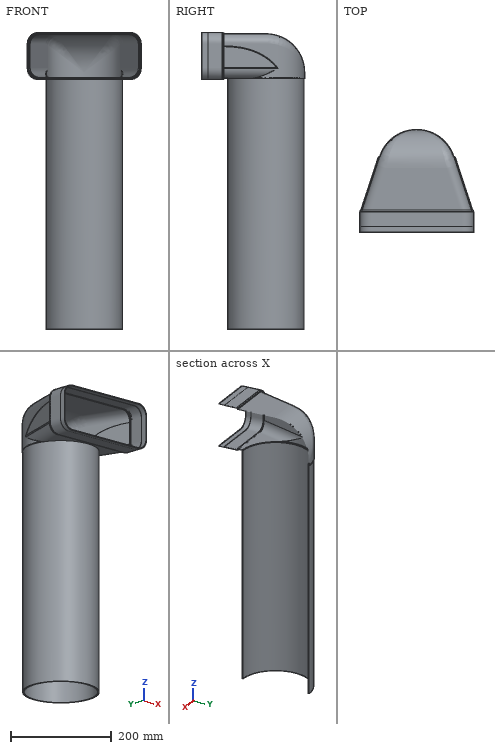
import cadquery as cq
import math


pipe_radius = 76.5
pipe_wall = 3.0
pipe_length = 500.0
bore_radius = pipe_radius - pipe_wall

elbow_radius = 77.5
elbow_height = 89.5
elbow_wall = 2.05
corner_radius = 20.0
elbow_bottom = pipe_length

overall_depth = 205.0
collar_width = 227.0
collar_wall = 2.5
collar_length = 44.5
collar_height = elbow_height + 2 * collar_wall
collar_front = elbow_radius - overall_depth
collar_back = collar_front + collar_length
back_chamfer_length = 3.5
back_chamfer_height = 1.0
lead_in_length = 12.5
lead_in_height = 0.5

elbow_overlap = 2.5
elbow_front = collar_back - elbow_overlap
socket_depth = collar_length - elbow_overlap

flare_angle = 18.2
flare_sin = math.sin(math.radians(flare_angle))
flare_cos = math.cos(math.radians(flare_angle))

pad_thickness = 2.5
pad_height = 45.0
pad_rise_length = 36.5
pad_edge_draft = 35

clearance = 6.0


def flare_tangent(radius):
    """Plan point where the +X flared side leaves a round back of this radius."""
    return radius * flare_cos, radius * flare_sin


def is_slanted(edge):
    """True for an edge that runs along both X and Y, not straight along one axis."""
    box = edge.BoundingBox()
    shortest_run = 3.0
    return min(box.xlen, box.ylen) > shortest_run


def elbow_form(inset, front):
    """Solid elbow, with all faces but its front one an inset inside the outer faces."""
    radius = elbow_radius - inset
    rounding = corner_radius - inset
    height = elbow_height - 2 * inset
    bottom = elbow_bottom + inset
    top = bottom + height
    tangent_x, tangent_y = flare_tangent(radius)
    front_x = (radius - front * flare_sin) / flare_cos
    base = cq.Workplane("XY", origin=(0, 0, bottom))

    flared = (
        base.moveTo(-front_x, front)
        .lineTo(-tangent_x, tangent_y)
        .threePointArc((0, radius), (tangent_x, tangent_y))
        .lineTo(front_x, front)
        .close()
        .extrude(height)
    )

    bend_middle = radius * math.sqrt(0.5)
    side = (
        cq.Workplane("YZ")
        .moveTo(front, bottom)
        .lineTo(front, top)
        .lineTo(0, top)
        .threePointArc((bend_middle, top - radius + bend_middle), (radius, top - radius))
        .lineTo(radius, bottom)
        .close()
        .extrude(collar_width, both=True)
    )

    bent = flared.intersect(side)
    roof_edges = [
        edge
        for edge in bent.edges().vals()
        if is_slanted(edge) and edge.BoundingBox().zmax > bottom + rounding
    ]
    round_topped = bent.newObject(roof_edges).fillet(rounding)

    round_bottomed = flared.faces("<Z").edges("not |X").fillet(rounding)
    seat = base.circle(radius).extrude(corner_radius)
    return round_topped.intersect(round_bottomed.union(seat))


def side_pad():
    """Raised pad with sloped edges on the +X flared side, ending at the collar."""
    start_x, start_y = flare_tangent(elbow_radius)
    length = (start_y - elbow_front) / flare_cos
    flared_side = cq.Plane(
        origin=(start_x, start_y, elbow_bottom + corner_radius),
        xDir=(-flare_sin, flare_cos, 0),
        normal=(flare_cos, flare_sin, 0),
    )
    pad = (
        cq.Workplane(flared_side)
        .bezier([(0, 0), (-pad_rise_length, pad_height), (-length, pad_height)])
        .lineTo(-length, 0)
        .close()
        .extrude(pad_thickness, taper=pad_edge_draft)
    )
    behind_collar = (
        cq.Workplane("XY", origin=(0, collar_back, elbow_bottom))
        .rect(collar_width, 2 * overall_depth)
        .extrude(elbow_height)
        .translate((0, overall_depth, 0))
    )
    return pad.intersect(behind_collar)


def mouth_block(inset, length):
    """Block with rounded corners from the collar's front face back, an inset inside its outside."""
    return (
        cq.Workplane("XZ", origin=(0, collar_front, elbow_bottom + elbow_height / 2))
        .rect(collar_width - 2 * inset, collar_height - 2 * inset)
        .extrude(-length)
        .edges("|Y")
        .fillet(corner_radius + collar_wall - inset)
    )


def make_pipe():
    return cq.Workplane("XY").circle(pipe_radius).circle(bore_radius).extrude(pipe_length)


def make_elbow():
    pad = side_pad()
    duct = elbow_form(elbow_wall, elbow_front - clearance)
    floor_hole = (
        cq.Workplane("XY", origin=(0, 0, elbow_bottom)).circle(bore_radius).extrude(elbow_wall)
    )
    outside = elbow_form(0, elbow_front).union(pad).union(pad.mirror("YZ"))
    return outside.cut(duct).cut(floor_hole)


def make_collar():
    block = (
        mouth_block(0, collar_length)
        .faces(">Y")
        .chamfer(back_chamfer_length, back_chamfer_height)
    )
    socket = mouth_block(collar_wall, socket_depth)
    lead_in = mouth_block(collar_wall - lead_in_height, lead_in_length)
    elbow_recess = elbow_form(0, elbow_front)
    return block.cut(socket).cut(lead_in).cut(elbow_recess)


pipe = make_pipe()
elbow = make_elbow()
collar = make_collar()

result = cq.Compound.makeCompound([pipe.val(), *elbow.solids().vals(), *collar.solids().vals()])